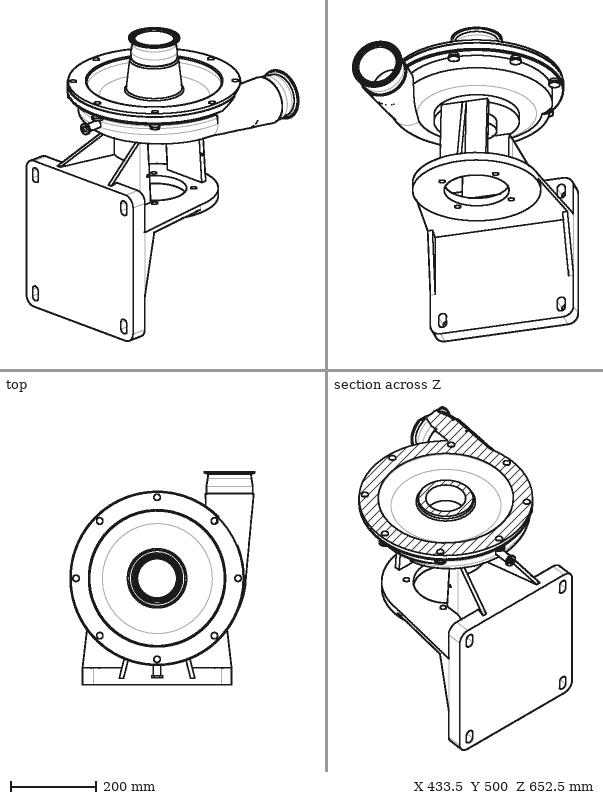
import cadquery as cq
import math


INLET_TOP = 110.0
OUTLET_FACE_Y = 250.0
OUTLET_X = 170.0
OUTLET_Z = -59.0
FERRULE_RADIUS = 59.5
FERRULE_THICKNESS = 2.5
NECK_LENGTH = 52.0
NECK_ROOT_RADIUS = 50.5
NECK_ROOT_DEPTH = 6.0
NECK_THROAT_RADIUS = 51.5
NECK_THROAT_DEPTH = 15.0
NECK_BODY_RADIUS = 54.5
NECK_BODY_DEPTH = 34.0
NECK_END_CHAMFER = 1.5
NECK_BORE_RADIUS = 46.0
NECK_MOUTH_RADIUS = 49.0
GASKET_GROOVE_INNER_RADIUS = 52.5
GASKET_GROOVE_OUTER_RADIUS = 55.5
GASKET_GROOVE_DEPTH = 1.2
OUTLET_PIPE_RADIUS = 57.0
OUTLET_BORE_DEPTH = 120.0
CONE_TOP_RADIUS = 57.5
CONE_BASE_RADIUS = 65.5
CONE_TOP_CHAMFER = 4.0
CONE_FOOT_CHAMFER = 4.0
BORE_FLOOR_Z = -60.0

COVER_RADIUS = 204.0
COVER_RIM_RADIUS = 202.0
COVER_RIM_HEIGHT = 8.0
COVER_EDGE_HEIGHT = 24.0
COVER_THICKNESS = 28.0
DISH_RADIUS = 161.0
DISH_WALL_RADIUS = 158.0
DISH_LIP = 3.0
DISH_FLOOR_RADIUS = 129.0
DISH_FLOOR_Z = -35.0
DISH_CENTRE_RADIUS = CONE_BASE_RADIUS + CONE_FOOT_CHAMFER
DISH_CENTRE_Z = -22.0
DISH_WALL_Z = -14.0
DISH_CORNER_MIDPOINT = (150.5, -29.0)

SCREW_COUNT = 8
SCREW_CIRCLE_RADIUS = 190.0
SCREW_HOLE_DIAMETER = 15.0
SCREW_NUT_RADIUS = 13.0
SCREW_SHANK_RADIUS = 11.0
NUT_TOP_Z = -35.0
NUT_BOTTOM_Z = -40.0

CASING_RADIUS = 177.5
CASING_SHOULDER_Z = -61.0
CASING_BACK_Z = -87.0
CASING_BACK_RADIUS = 140.0
CASING_CORNER_MIDPOINT = (162.5, -78.5)
HUB_RADIUS = 100.0
HUB_FRONT_Z = -91.0
HUB_BACK_Z = -109.0
SEAL_RADIUS = 47.0
SEAL_BACK_Z = -134.0

VOLUTE_START = 200.0
VOLUTE_END = 360.0
VOLUTE_STEPS = 4
VOLUTE_END_RADIUS = 45.0
VOLUTE_END_REACH = 208.5
VOLUTE_END_Z = -48.0
VOLUTE_SIDE_HEIGHT = 20.0
VOLUTE_TOP_CORNER = 5.0
VOLUTE_RADIUS_PER_DEGREE = 0.189
VOLUTE_REACH_PER_DEGREE = 0.227
VOLUTE_DROP_PER_DEGREE = 0.133

DRAIN_Z = -54.0
DRAIN_FACE_Y = -233.0
DRAIN_ROOT_Y = -160.0
DRAIN_RADIUS = 9.0
DRAIN_FLANGE_RADIUS = 13.0
DRAIN_FLANGE_THICKNESS = 5.0
DRAIN_BORE_DIAMETER = 13.0
DRAIN_BORE_DEPTH = 50.0

WALL_WIDTH = 350.0
WALL_HEIGHT = 370.0
WALL_THICKNESS = 40.0
WALL_BACK_Y = -250.0
WALL_FRONT_Y = WALL_BACK_Y + WALL_THICKNESS
WALL_TOP_Z = -172.5
WALL_CENTRE_Z = WALL_TOP_Z - WALL_HEIGHT / 2
WALL_CORNER_RADIUS = 25.0
SLOT_SPACING_X = 290.0
SLOT_SPACING_Z = 300.0
SLOT_LENGTH = 36.0
SLOT_WIDTH = 19.0

SHELF_TOP_Z = -272.0
SHELF_THICKNESS = 12.0
MOTOR_RING_RADIUS = 150.5
MOTOR_RING_THICKNESS = 20.0
MOTOR_BORE_DIAMETER = 152.0
MOTOR_HOLE_CIRCLE_RADIUS = 92.5
MOTOR_HOLE_DIAMETER = 14.0
MOTOR_HOLE_COUNT = 4
MOTOR_HOLE_START_ANGLE = 45.0
BRACE_THICKNESS = 12.0
BRACE_TIP_Y = -174.0
BRACE_FOOT_Z = -435.0

FRONT_COLUMN_TOP_Y = -79.0
FRONT_COLUMN_FOOT_Y = -68.5
FRONT_COLUMN_FACE_Y = -106.0
BACK_COLUMN_TOP_Y = 90.0
BACK_COLUMN_FOOT_Y = 102.0
BACK_COLUMN_THICKNESS = 13.5
BACK_RIB_THICKNESS = 10.0
BACK_RIB_FOOT_Y = 145.0
GUARD_HOLE_DIAMETER = 5.0
GUARD_HOLE_DEPTH = 15.0
GUARD_HOLE_Z = -202.0
FRONT_GUARD_HOLE_Y = -79.0
BACK_GUARD_HOLE_Y = 103.5

GUSSET_INNER_X = 42.0
GUSSET_ROOT_Y = -90.0
GUSSET_TIP_Y = -234.0
GUSSET_TIP_INNER_X = 78.5
GUSSET_WIDTH_X = 10.0
GUSSET_TOP_Y = -108.0


def gusset_edge_x(y, offset):
    """X of the flared gusset face at a given Y, moved outward by an offset."""
    slope = (GUSSET_TIP_INNER_X - GUSSET_INNER_X) / (GUSSET_TIP_Y - GUSSET_ROOT_Y)
    return GUSSET_INNER_X + offset + slope * (y - GUSSET_ROOT_Y)


COLUMN_HALF_WIDTH = gusset_edge_x(FRONT_COLUMN_FACE_Y, GUSSET_WIDTH_X)


def disc(radius, top_z, bottom_z):
    """Cylinder about the Z axis between two heights."""
    return cq.Workplane("XY").workplane(offset=bottom_z).circle(radius).extrude(top_z - bottom_z)


def yz_prism(points, centre_x, thickness):
    """Plate of a given (Y, Z) outline, centred on centre_x."""
    plane = cq.Workplane("YZ").workplane(offset=centre_x - thickness / 2)
    return plane.polyline(points).close().extrude(thickness)


def clamp_neck():
    """Connection neck about Z with its ferrule face at Z = 0, running down."""
    profile = [
        (0, 0),
        (FERRULE_RADIUS, 0),
        (FERRULE_RADIUS, -FERRULE_THICKNESS),
        (NECK_ROOT_RADIUS, -NECK_ROOT_DEPTH),
        (NECK_THROAT_RADIUS, -NECK_THROAT_DEPTH),
        (NECK_BODY_RADIUS, -NECK_BODY_DEPTH),
        (NECK_BODY_RADIUS, NECK_END_CHAMFER - NECK_LENGTH),
        (NECK_BODY_RADIUS - NECK_END_CHAMFER, -NECK_LENGTH),
        (0, -NECK_LENGTH),
    ]
    return cq.Workplane("XZ").polyline(profile).close().revolve(360, (0, 0), (0, 1))


def inlet():
    cone_top = INLET_TOP - NECK_LENGTH
    cone = (
        cq.Workplane("XZ")
        .moveTo(0, cone_top)
        .lineTo(CONE_TOP_RADIUS - CONE_TOP_CHAMFER, cone_top)
        .lineTo(CONE_TOP_RADIUS, cone_top - CONE_TOP_CHAMFER)
        .lineTo(CONE_BASE_RADIUS, DISH_CENTRE_Z + CONE_FOOT_CHAMFER)
        .lineTo(DISH_CENTRE_RADIUS, DISH_CENTRE_Z)
        .lineTo(DISH_CENTRE_RADIUS, BORE_FLOOR_Z)
        .lineTo(0, BORE_FLOOR_Z)
        .close()
        .revolve(360, (0, 0), (0, 1))
    )
    return to_inlet(clamp_neck()).union(cone)


def cover():
    rim = disc(COVER_RIM_RADIUS, 0, -COVER_THICKNESS)
    edge = disc(COVER_RADIUS, -COVER_RIM_HEIGHT, -COVER_EDGE_HEIGHT)
    return rim.union(edge)


def dish():
    """Recess in the cover: steep wall, rounded bottom and a floor rising to the inlet."""
    return (
        cq.Workplane("XZ")
        .moveTo(0, 0)
        .lineTo(DISH_RADIUS, 0)
        .lineTo(DISH_WALL_RADIUS, -DISH_LIP)
        .lineTo(DISH_WALL_RADIUS, DISH_WALL_Z)
        .threePointArc(DISH_CORNER_MIDPOINT, (DISH_FLOOR_RADIUS, DISH_FLOOR_Z))
        .lineTo(DISH_CENTRE_RADIUS, DISH_CENTRE_Z)
        .lineTo(0, DISH_CENTRE_Z)
        .close()
        .revolve(360, (0, 0), (0, 1))
    )


def casing():
    shell = (
        cq.Workplane("XZ")
        .moveTo(0, -COVER_RIM_HEIGHT)
        .lineTo(CASING_RADIUS, -COVER_RIM_HEIGHT)
        .lineTo(CASING_RADIUS, CASING_SHOULDER_Z)
        .threePointArc(CASING_CORNER_MIDPOINT, (CASING_BACK_RADIUS, CASING_BACK_Z))
        .lineTo(HUB_RADIUS, HUB_FRONT_Z)
        .lineTo(0, HUB_FRONT_Z)
        .close()
        .revolve(360, (0, 0), (0, 1))
    )
    hub = disc(HUB_RADIUS, HUB_FRONT_Z, HUB_BACK_Z)
    seal = disc(SEAL_RADIUS, HUB_BACK_Z, SEAL_BACK_Z)
    return shell.union(hub).union(seal)


def volute_section(angle):
    """Volute section at a wrap angle in degrees: a half circle below straight sides and a flat top."""
    before_end = VOLUTE_END - angle
    radius = VOLUTE_END_RADIUS - VOLUTE_RADIUS_PER_DEGREE * before_end
    reach = VOLUTE_END_REACH - VOLUTE_REACH_PER_DEGREE * before_end
    z = VOLUTE_END_Z - VOLUTE_DROP_PER_DEGREE * before_end
    outward = cq.Vector(math.cos(math.radians(angle)), math.sin(math.radians(angle)), 0)
    centre = outward * (reach - radius) + cq.Vector(0, 0, z)
    radial_plane = cq.Plane(centre, outward, outward.cross(cq.Vector(0, 0, 1)))
    side_top = VOLUTE_SIDE_HEIGHT - VOLUTE_TOP_CORNER
    top_half_width = radius - VOLUTE_TOP_CORNER
    return (
        cq.Workplane(radial_plane)
        .moveTo(-radius, 0)
        .threePointArc((0, -radius), (radius, 0))
        .lineTo(radius, side_top)
        .radiusArc((top_half_width, VOLUTE_SIDE_HEIGHT), -VOLUTE_TOP_CORNER)
        .lineTo(-top_half_width, VOLUTE_SIDE_HEIGHT)
        .radiusArc((-radius, side_top), -VOLUTE_TOP_CORNER)
        .close()
        .val()
    )


def volute():
    step = (VOLUTE_END - VOLUTE_START) / VOLUTE_STEPS
    sections = [volute_section(VOLUTE_START + i * step) for i in range(VOLUTE_STEPS + 1)]
    return cq.Workplane(cq.Solid.makeLoft(sections))


def outlet_taper():
    """Widening pipe from the volute end to the outlet neck."""
    along_y = cq.Vector(0, 1, 0)
    start_centre = cq.Vector(VOLUTE_END_REACH - VOLUTE_END_RADIUS, 0, VOLUTE_END_Z)
    end_centre = cq.Vector(OUTLET_X, OUTLET_FACE_Y - NECK_LENGTH, OUTLET_Z)
    start = cq.Wire.makeCircle(VOLUTE_END_RADIUS, start_centre, along_y)
    end = cq.Wire.makeCircle(OUTLET_PIPE_RADIUS, end_centre, along_y)
    return cq.Workplane(cq.Solid.makeLoft([start, end], True))


def gasket_groove():
    """Ring groove in a ferrule face lying at Z = 0."""
    ring = cq.Workplane("XY").circle(GASKET_GROOVE_OUTER_RADIUS).circle(GASKET_GROOVE_INNER_RADIUS)
    return ring.extrude(-GASKET_GROOVE_DEPTH)


def neck_bore(depth):
    """Blind bore with a flared mouth and gasket groove, running down from Z = 0."""
    flare = NECK_MOUTH_RADIUS - NECK_BORE_RADIUS
    profile = [
        (0, 0),
        (NECK_MOUTH_RADIUS, 0),
        (NECK_BORE_RADIUS, -flare),
        (NECK_BORE_RADIUS, -depth),
        (0, -depth),
    ]
    bore = cq.Workplane("XZ").polyline(profile).close().revolve(360, (0, 0), (0, 1))
    return bore.union(gasket_groove())


def to_inlet(shape):
    """Move a shape built down from Z = 0 to the inlet face."""
    return shape.translate((0, 0, INLET_TOP))


def to_outlet(shape):
    """Turn a shape built down from Z = 0 so that it runs in from the outlet face."""
    return shape.rotate((0, 0, 0), (1, 0, 0), -90).translate((OUTLET_X, OUTLET_FACE_Y, OUTLET_Z))


def screw_circle(z):
    return cq.Workplane("XY").workplane(offset=z).polarArray(SCREW_CIRCLE_RADIUS, 0, 360, SCREW_COUNT)


def cover_nuts():
    shanks = screw_circle(NUT_TOP_Z).circle(SCREW_SHANK_RADIUS).extrude(-COVER_EDGE_HEIGHT - NUT_TOP_Z)
    nuts = screw_circle(NUT_BOTTOM_Z).circle(SCREW_NUT_RADIUS).extrude(NUT_TOP_Z - NUT_BOTTOM_Z)
    return shanks.union(nuts)


def screw_holes():
    return screw_circle(0).circle(SCREW_HOLE_DIAMETER / 2).extrude(-COVER_EDGE_HEIGHT)


def drain():
    face = cq.Workplane("XZ", origin=(0, DRAIN_FACE_Y, DRAIN_Z))
    flange = face.circle(DRAIN_FLANGE_RADIUS).extrude(-DRAIN_FLANGE_THICKNESS)
    tube = face.circle(DRAIN_RADIUS).extrude(DRAIN_FACE_Y - DRAIN_ROOT_Y)
    return flange.union(tube)


def drain_bore():
    face = cq.Workplane("XZ", origin=(0, DRAIN_FACE_Y, DRAIN_Z))
    return face.circle(DRAIN_BORE_DIAMETER / 2).extrude(-DRAIN_BORE_DEPTH)


def wall_plate():
    centre = (0, WALL_BACK_Y, WALL_CENTRE_Z)
    plate = (
        cq.Workplane("XZ", origin=centre)
        .rect(WALL_WIDTH, WALL_HEIGHT)
        .extrude(-WALL_THICKNESS)
        .edges("|Y")
        .fillet(WALL_CORNER_RADIUS)
    )
    slots = (
        cq.Workplane("XZ", origin=centre)
        .rect(SLOT_SPACING_X, SLOT_SPACING_Z, forConstruction=True)
        .vertices()
        .slot2D(SLOT_LENGTH, SLOT_WIDTH, 90)
        .extrude(-WALL_THICKNESS)
    )
    return plate.cut(slots)


def shelf_edge_x(y):
    """X of the straight shelf side at a given Y, widening from the ring to the wall plate."""
    return MOTOR_RING_RADIUS + (WALL_WIDTH / 2 - MOTOR_RING_RADIUS) * y / WALL_FRONT_Y


def shelf_side_strip(width, start_y, top_z, bottom_z):
    """Strip along the +X shelf side with one edge on that side."""
    plan = [
        (shelf_edge_x(start_y), start_y),
        (shelf_edge_x(WALL_FRONT_Y), WALL_FRONT_Y),
        (shelf_edge_x(WALL_FRONT_Y) - width, WALL_FRONT_Y),
        (shelf_edge_x(start_y) - width, start_y),
    ]
    return cq.Workplane("XY").workplane(offset=bottom_z).polyline(plan).close().extrude(top_z - bottom_z)


def shelf():
    """Ring for the motor with a web reaching to the wall plate."""
    web_plan = [
        (shelf_edge_x(WALL_FRONT_Y), WALL_FRONT_Y),
        (shelf_edge_x(0), 0),
        (-shelf_edge_x(0), 0),
        (-shelf_edge_x(WALL_FRONT_Y), WALL_FRONT_Y),
    ]
    web_plane = cq.Workplane("XY").workplane(offset=SHELF_TOP_Z)
    web = web_plane.polyline(web_plan).close().extrude(-SHELF_THICKNESS)
    ring = disc(MOTOR_RING_RADIUS, SHELF_TOP_Z, SHELF_TOP_Z - MOTOR_RING_THICKNESS)
    openings = (
        cq.Workplane("XY")
        .workplane(offset=SHELF_TOP_Z)
        .circle(MOTOR_BORE_DIAMETER / 2)
        .polarArray(MOTOR_HOLE_CIRCLE_RADIUS, MOTOR_HOLE_START_ANGLE, 360, MOTOR_HOLE_COUNT)
        .circle(MOTOR_HOLE_DIAMETER / 2)
        .extrude(-MOTOR_RING_THICKNESS)
    )
    return web.union(ring).cut(openings)


def shelf_braces():
    shelf_bottom = SHELF_TOP_Z - SHELF_THICKNESS
    outline = [
        (WALL_FRONT_Y, shelf_bottom),
        (BRACE_TIP_Y, shelf_bottom),
        (WALL_FRONT_Y, BRACE_FOOT_Z),
    ]
    strip = shelf_side_strip(BRACE_THICKNESS, BRACE_TIP_Y, shelf_bottom, BRACE_FOOT_Z)
    brace = strip.intersect(yz_prism(outline, 0, WALL_WIDTH))
    return brace.union(brace.mirror("YZ"))


def front_column():
    """Column rounded flush with the hub, leaning inward towards the top."""
    outline = [
        (FRONT_COLUMN_TOP_Y, HUB_BACK_Z),
        (FRONT_COLUMN_FOOT_Y, SHELF_TOP_Z),
        (FRONT_COLUMN_FACE_Y, SHELF_TOP_Z),
        (FRONT_COLUMN_FACE_Y, HUB_BACK_Z),
    ]
    block = yz_prism(outline, 0, 2 * COLUMN_HALF_WIDTH)
    round_face = disc(HUB_RADIUS, HUB_BACK_Z, SHELF_TOP_Z)
    return block.intersect(round_face)


def flared_gussets():
    plan = [
        (gusset_edge_x(GUSSET_ROOT_Y, 0), GUSSET_ROOT_Y),
        (gusset_edge_x(GUSSET_TIP_Y, 0), GUSSET_TIP_Y),
        (gusset_edge_x(GUSSET_TIP_Y, GUSSET_WIDTH_X), GUSSET_TIP_Y),
        (COLUMN_HALF_WIDTH, FRONT_COLUMN_FACE_Y),
        (COLUMN_HALF_WIDTH, FRONT_COLUMN_TOP_Y),
        (GUSSET_INNER_X, FRONT_COLUMN_TOP_Y),
    ]
    side_outline = [
        (FRONT_COLUMN_TOP_Y, HUB_BACK_Z),
        (GUSSET_TOP_Y, HUB_BACK_Z),
        (GUSSET_TIP_Y, WALL_TOP_Z),
        (WALL_FRONT_Y, WALL_TOP_Z),
        (WALL_FRONT_Y, SHELF_TOP_Z),
        (FRONT_COLUMN_TOP_Y, SHELF_TOP_Z),
    ]
    height = HUB_BACK_Z - SHELF_TOP_Z
    plan_prism = cq.Workplane("XY").workplane(offset=SHELF_TOP_Z).polyline(plan).close().extrude(height)
    gusset = plan_prism.intersect(yz_prism(side_outline, 0, WALL_WIDTH))
    return gusset.union(gusset.mirror("YZ"))


def gusset_filling():
    """Block between the gussets, level with the top of the wall plate."""
    root_x = gusset_edge_x(FRONT_COLUMN_TOP_Y, 0)
    wall_x = gusset_edge_x(WALL_FRONT_Y, 0)
    return (
        cq.Workplane("XY")
        .workplane(offset=SHELF_TOP_Z)
        .polyline([
            (root_x, FRONT_COLUMN_TOP_Y),
            (wall_x, WALL_FRONT_Y),
            (-wall_x, WALL_FRONT_Y),
            (-root_x, FRONT_COLUMN_TOP_Y),
        ])
        .close()
        .extrude(WALL_TOP_Z - SHELF_TOP_Z)
    )


def back_column():
    leaning_plate = [
        (BACK_COLUMN_TOP_Y, HUB_BACK_Z),
        (BACK_COLUMN_FOOT_Y, SHELF_TOP_Z),
        (BACK_COLUMN_FOOT_Y + BACK_COLUMN_THICKNESS, SHELF_TOP_Z),
        (BACK_COLUMN_TOP_Y + BACK_COLUMN_THICKNESS, HUB_BACK_Z),
    ]
    rib = [
        (BACK_COLUMN_TOP_Y + BACK_COLUMN_THICKNESS, HUB_BACK_Z),
        (BACK_COLUMN_FOOT_Y, SHELF_TOP_Z),
        (BACK_RIB_FOOT_Y, SHELF_TOP_Z),
    ]
    plate = yz_prism(leaning_plate, 0, 2 * COLUMN_HALF_WIDTH)
    return plate.union(yz_prism(rib, 0, BACK_RIB_THICKNESS))


def guard_holes():
    """Small blind holes in both side edges of the two columns."""
    places = [(FRONT_GUARD_HOLE_Y, GUARD_HOLE_Z), (BACK_GUARD_HOLE_Y, GUARD_HOLE_Z)]
    side = cq.Workplane("YZ").workplane(offset=COLUMN_HALF_WIDTH - GUARD_HOLE_DEPTH)
    holes = side.pushPoints(places).circle(GUARD_HOLE_DIAMETER / 2).extrude(GUARD_HOLE_DEPTH)
    return holes.union(holes.mirror("YZ"))


pump = cover().union(casing()).union(volute()).union(outlet_taper()).union(to_outlet(clamp_neck()))
pump = pump.union(cover_nuts()).union(drain())
pump = pump.cut(dish()).cut(screw_holes()).cut(drain_bore()).cut(to_outlet(neck_bore(OUTLET_BORE_DEPTH)))
pump = pump.union(inlet()).cut(to_inlet(neck_bore(INLET_TOP - BORE_FLOOR_Z)))

bracket = wall_plate().union(shelf()).union(shelf_braces())
bracket = bracket.union(front_column()).union(gusset_filling()).union(flared_gussets())
bracket = bracket.union(back_column()).cut(guard_holes())

result = pump.union(bracket)